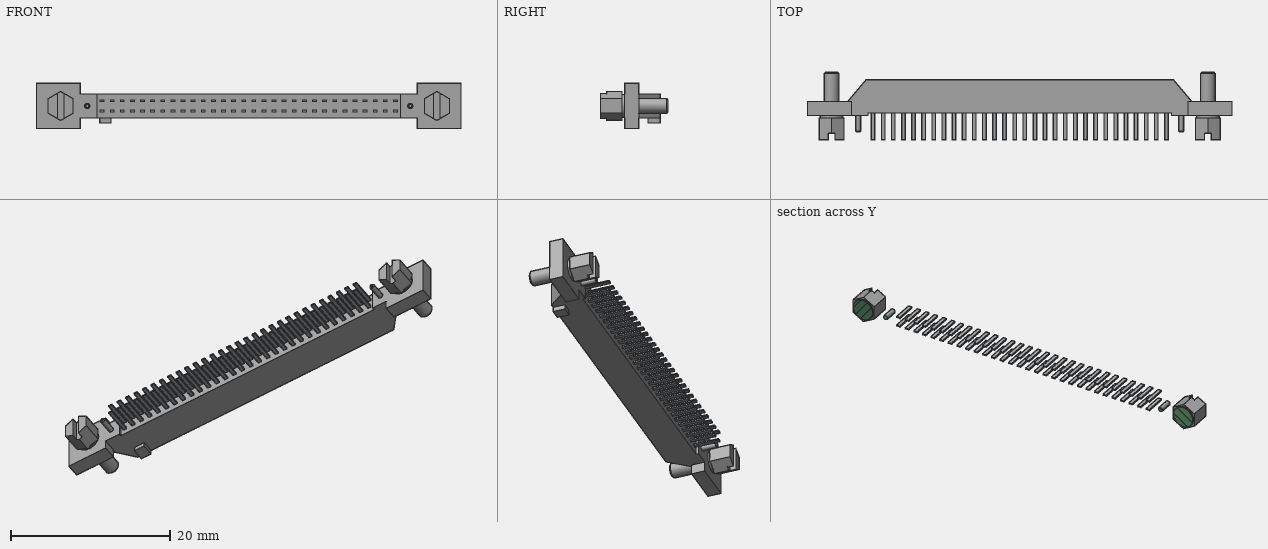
import cadquery as cq


overall_length = 53.34
flange_length = 5.54
flange_height = 5.71
flange_thickness = 1.78
body_height = 3.05
body_depth = 4.5
mating_length = 38.6
shoulder_length = 43.2
contact_recess_length = 38.1
contact_recess_depth = 0.32

contact_pitch = 1.27
contacts_per_row = 30
row_spacing = 1.27
contact_width = 0.48
contact_thickness = 0.2

screw_spacing = 47.24
shank_diameter = 1.91
shank_reach = 3.68
shank_chamfer = 0.2
collar_diameter = 2.9
collar_thickness = 0.32
head_across_flats = 3.15
head_length = 2.73
slot_width = 0.81
slot_depth = 0.8

peg_spacing = 40.56
peg_diameter = 0.66
peg_reach = 2.08
peg_chamfer = 0.13
peg_seat_depth = flange_thickness

key_center_x = -18.0
key_width = 1.45
key_length = 1.6
key_height = 0.64

contact_tip_y = -(collar_thickness + head_length)
head_across_corners = head_across_flats / (3 ** 0.5 / 2)


def rod(diameter, x, start_y, end_y):
    """Round bar along Y at height Z = 0."""
    base = cq.Workplane("XZ", origin=(x, end_y, 0))
    return base.circle(diameter / 2).extrude(end_y - start_y)


def make_contact(x, z):
    """One contact tail, from its tip to the recessed face of the housing."""
    length = contact_recess_depth - contact_tip_y
    return (
        cq.Workplane("XY")
        .box(contact_width, length, contact_thickness, centered=(True, False, True))
        .translate((x, contact_tip_y, z))
    )


def make_flange(side):
    """Square end flange; side is -1 for the left end and 1 for the right end."""
    center_x = side * (overall_length - flange_length) / 2
    return (
        cq.Workplane("XY")
        .box(flange_length, flange_thickness, flange_height)
        .translate((center_x, flange_thickness / 2, 0))
    )


def make_body():
    """Bar between the flanges: sloped shoulders at the back, contact recess at the front."""
    inner_half = overall_length / 2 - flange_length
    outline = [
        (-inner_half, 0),
        (-contact_recess_length / 2, 0),
        (-contact_recess_length / 2, contact_recess_depth),
        (contact_recess_length / 2, contact_recess_depth),
        (contact_recess_length / 2, 0),
        (inner_half, 0),
        (inner_half, flange_thickness),
        (shoulder_length / 2, flange_thickness),
        (mating_length / 2, body_depth),
        (-mating_length / 2, body_depth),
        (-shoulder_length / 2, flange_thickness),
        (-inner_half, flange_thickness),
    ]
    return cq.Workplane("XY").polyline(outline).close().extrude(body_height / 2, both=True)


def make_housing():
    """Bar, flanges and contact tails in one solid, with holes for screws and pegs."""
    housing = make_body()
    for side in (-1, 1):
        housing = housing.union(make_flange(side))
    for side in (-1, 1):
        screw_hole = rod(shank_diameter, side * screw_spacing / 2, 0, flange_thickness)
        peg_hole = rod(peg_diameter, side * peg_spacing / 2, 0, peg_seat_depth)
        housing = housing.cut(screw_hole).cut(peg_hole)
    for column in range(contacts_per_row):
        x = (column - (contacts_per_row - 1) / 2) * contact_pitch
        for row_z in (-row_spacing / 2, row_spacing / 2):
            housing = housing.union(make_contact(x, row_z))
    return housing


def make_screw(x):
    """Jackscrew through a flange, with the driver slot running along Z."""
    shank = rod(shank_diameter, x, 0, flange_thickness + shank_reach)
    shank = shank.faces(">Y").chamfer(shank_chamfer)
    collar = rod(collar_diameter, x, -collar_thickness, 0)
    head = (
        cq.Workplane("XZ", origin=(x, -collar_thickness, 0))
        .transformed(rotate=(0, 0, 90))
        .polygon(6, head_across_corners)
        .extrude(head_length)
    )
    slot = (
        cq.Workplane("XY")
        .box(slot_width, slot_depth, head_across_corners, centered=(True, False, True))
        .translate((x, contact_tip_y, 0))
    )
    return shank.union(collar).union(head.cut(slot))


def make_peg(x):
    """Guide peg with a chamfered tip, seated in its blind hole."""
    return rod(peg_diameter, x, -peg_reach, peg_seat_depth).faces("<Y").chamfer(peg_chamfer)


def make_key():
    """Polarizing key under the housing, flush with its back face."""
    return (
        cq.Workplane("XY")
        .box(key_width, key_length, key_height)
        .translate((key_center_x, body_depth - key_length / 2, -(body_height + key_height) / 2))
    )


housing = make_housing()
screws = [make_screw(side * screw_spacing / 2) for side in (-1, 1)]
pegs = [make_peg(side * peg_spacing / 2) for side in (-1, 1)]
key = make_key()

result = cq.Compound.makeCompound(
    [
        housing.val(),
        *[screw.val() for screw in screws],
        *[peg.val() for peg in pegs],
        key.val(),
    ]
)